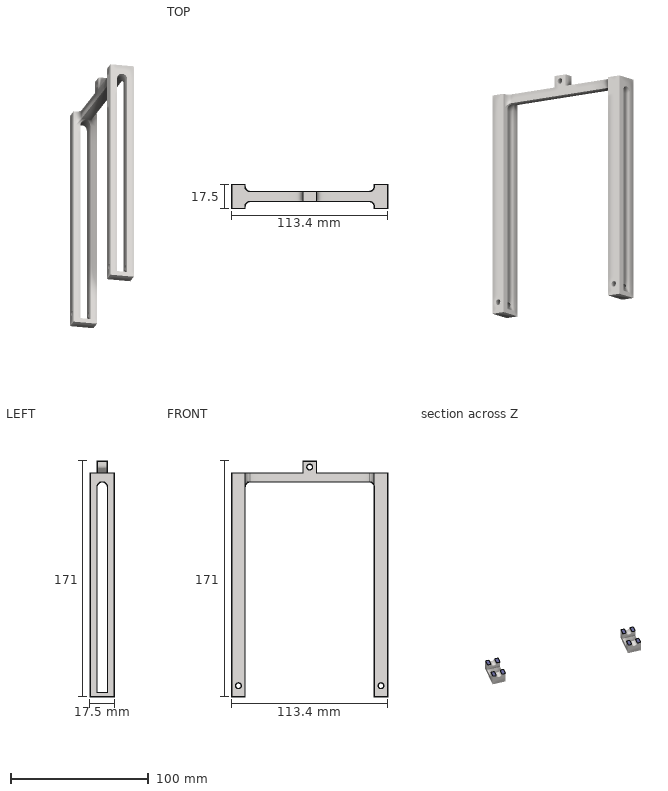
import cadquery as cq

width = 113.42
depth = 17.5
total_height = 171.0

leg_width = 9.9
lug_height = 8.5
frame_height = total_height - lug_height
bar_depth = 7.5
bar_thickness = 6.6
corner_radius = 3.5

slot_width = bar_depth
slot_floor = 3.25
slot_top = frame_height - bar_thickness

lug_width = leg_width

hole_diameter = 4.0
foot_hole_height = 8.0
lug_hole_height = total_height - lug_height / 2

inner_width = width - 2 * leg_width
leg_center = (width - leg_width) / 2


def make_portal():
    """Two legs and a crossbar, with the inner corners under the bar rounded."""
    block = cq.Workplane("XY").box(width, depth, frame_height, centered=(True, True, False))
    opening = (
        cq.Workplane("XY")
        .box(inner_width, depth, slot_top, centered=(True, True, False))
        .edges("|Y and >Z")
        .fillet(corner_radius)
    )
    return block.cut(opening)


def make_bar_recess(side):
    """Space beside the crossbar that thins it, on the -Y (side=-1) or +Y (side=1) face."""
    recess_depth = (depth - bar_depth) / 2
    recess_center = side * (bar_depth + recess_depth) / 2
    inner_edges = "|Z and <Y" if side > 0 else "|Z and >Y"
    return (
        cq.Workplane("XY")
        .center(0, recess_center)
        .box(inner_width, recess_depth, frame_height, centered=(True, True, False))
        .edges(inner_edges)
        .fillet(corner_radius)
    )


def make_slot():
    """Slot along X through both legs, from its flat floor to its round top."""
    half_slot = slot_width / 2
    spring_line = slot_top - half_slot
    return (
        cq.Workplane("YZ")
        .moveTo(-half_slot, slot_floor)
        .lineTo(half_slot, slot_floor)
        .lineTo(half_slot, spring_line)
        .threePointArc((0, slot_top), (-half_slot, spring_line))
        .close()
        .extrude(width / 2, both=True)
    )


def make_lug():
    """Rectangular lug that rises from the middle of the crossbar, starting at its underside."""
    return (
        cq.Workplane("XY")
        .workplane(offset=slot_top)
        .box(lug_width, bar_depth, total_height - slot_top, centered=(True, True, False))
    )


def make_pin_holes():
    """Cross holes along Y at the foot of each leg and in the lug."""
    centers = [
        (-leg_center, foot_hole_height),
        (leg_center, foot_hole_height),
        (0, lug_hole_height),
    ]
    return (
        cq.Workplane("XZ")
        .pushPoints(centers)
        .circle(hole_diameter / 2)
        .extrude(depth / 2, both=True)
    )


result = make_portal()
for side in (-1, 1):
    result = result.cut(make_bar_recess(side))
result = result.cut(make_slot())
result = result.union(make_lug())
result = result.cut(make_pin_holes())